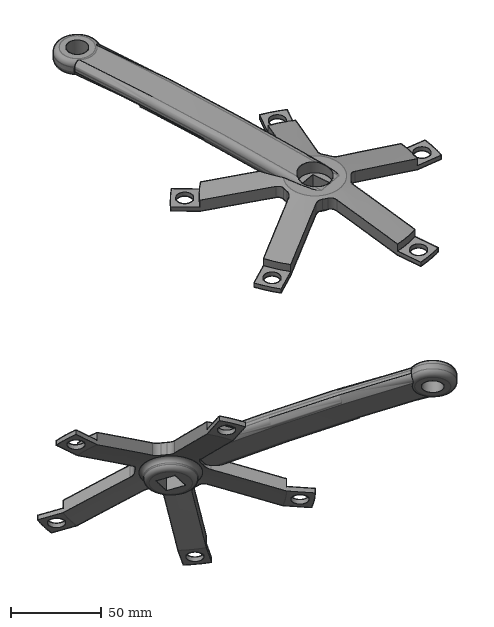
import cadquery as cq
import math


ARM_COUNT = 5
ARM_WIDTH = 16.0
SPIDER_THICKNESS = 8.0
TIP_RADIUS = 80.0
TAB_LENGTH = 16.0
TAB_THICKNESS = 3.0
TAB_START_RADIUS = TIP_RADIUS - TAB_LENGTH
BOLT_CIRCLE_RADIUS = TIP_RADIUS - TAB_LENGTH / 2
BOLT_HOLE_DIAMETER = 10.0
HUB_RADIUS = 20.0
HUB_FLAT_RADIUS = 17.5
HUB_TOP = 20.0
HUB_BOTTOM = HUB_TOP - SPIDER_THICKNESS
ARM_ROOT_FILLET = 5.0

BOSS_DIAMETER = 30.0
BOSS_BOTTOM = 5.0
BOSS_FILLET = 3.0

RECESS_DIAMETER = 20.0
RECESS_FLOOR = 14.0
SQUARE_SIZE = 12.0

CRANK_LENGTH = 165.0
CRANK_TOP = 29.9
CRANK_WIDTH = 24.0
CRANK_THICKNESS = 10.0
CRANK_CORNER_RADIUS = 4.0
CRANK_BEND_RADIUS = 1560.0
CRANK_OVERHANG = 10.5
CRANK_START = 7.0

EYE_TOP = 30.0
EYE_THICKNESS = 10.4
EYE_FLAT_RADIUS = 10.0
EYE_FILLET = 3.42
PEDAL_HOLE_DIAMETER = 12.59


def make_spider():
    """Star-shaped outline cut from a dished revolved body."""
    outline = cq.Workplane("XY").circle(HUB_RADIUS).extrude(HUB_TOP)
    for i in range(ARM_COUNT):
        arm = (
            cq.Workplane("XY")
            .rect(TIP_RADIUS, ARM_WIDTH)
            .extrude(HUB_TOP)
            .translate((TIP_RADIUS / 2, 0, 0))
            .rotate((0, 0, 0), (0, 0, 1), i * 360 / ARM_COUNT)
        )
        outline = outline.union(arm)
    root_edges = cq.selectors.BoxSelector(
        (-HUB_RADIUS - 1, -HUB_RADIUS - 1, 0),
        (HUB_RADIUS + 1, HUB_RADIUS + 1, HUB_TOP),
    )
    outline = outline.edges("|Z").edges(root_edges).fillet(ARM_ROOT_FILLET)

    dish = (
        cq.Workplane("XZ")
        .moveTo(0, HUB_BOTTOM)
        .lineTo(HUB_FLAT_RADIUS, HUB_BOTTOM)
        .lineTo(TAB_START_RADIUS, 0)
        .lineTo(TIP_RADIUS, 0)
        .lineTo(TIP_RADIUS, TAB_THICKNESS)
        .lineTo(TAB_START_RADIUS, TAB_THICKNESS)
        .lineTo(TAB_START_RADIUS, SPIDER_THICKNESS)
        .lineTo(HUB_FLAT_RADIUS, HUB_TOP)
        .lineTo(0, HUB_TOP)
        .close()
        .revolve(360, (0, 0), (0, 1))
    )
    bolt_holes = (
        cq.Workplane("XY")
        .polarArray(BOLT_CIRCLE_RADIUS, 0, 360, ARM_COUNT)
        .circle(BOLT_HOLE_DIAMETER / 2)
        .extrude(TAB_THICKNESS)
    )
    return outline.intersect(dish).cut(bolt_holes)


def make_boss():
    """Round boss below the hub, flared into the hub and rounded at its lower rim."""
    radius = BOSS_DIAMETER / 2
    return (
        cq.Workplane("XZ")
        .moveTo(0, BOSS_BOTTOM)
        .lineTo(radius - BOSS_FILLET, BOSS_BOTTOM)
        .radiusArc((radius, BOSS_BOTTOM + BOSS_FILLET), -BOSS_FILLET)
        .lineTo(radius, HUB_BOTTOM - BOSS_FILLET)
        .radiusArc((radius + BOSS_FILLET, HUB_BOTTOM), BOSS_FILLET)
        .lineTo(0, HUB_BOTTOM)
        .close()
        .revolve(360, (0, 0), (0, 1))
    )


def bend_angle(distance):
    """Angle in degrees along the crank arc at a horizontal distance from the pedal axis."""
    return math.degrees(math.asin(distance / CRANK_BEND_RADIUS))


def make_crank():
    """Rounded rectangular bar that follows an arc, level at the pedal axis and falling to the hub."""
    start_angle = bend_angle(CRANK_START)
    end_angle = bend_angle(CRANK_LENGTH + CRANK_OVERHANG)
    section_offset = CRANK_BEND_RADIUS - CRANK_THICKNESS / 2
    bend_center_z = CRANK_TOP - CRANK_BEND_RADIUS
    section = (
        cq.Sketch()
        .rect(CRANK_WIDTH, CRANK_THICKNESS)
        .vertices()
        .fillet(CRANK_CORNER_RADIUS)
    )
    return (
        cq.Workplane("YZ", origin=(-CRANK_LENGTH, 0, bend_center_z + section_offset))
        .placeSketch(section)
        .revolve(end_angle - start_angle, (0, -section_offset), (1, -section_offset))
        .rotate((-CRANK_LENGTH, 0, bend_center_z), (-CRANK_LENGTH, 1, bend_center_z), start_angle)
    )


def make_pedal_eye():
    """Ring with both outer rims rounded, revolved about the pedal axis."""
    hole_radius = PEDAL_HOLE_DIAMETER / 2
    eye_radius = EYE_FLAT_RADIUS + EYE_FILLET
    return (
        cq.Workplane("YZ", origin=(-CRANK_LENGTH, 0, EYE_TOP - EYE_THICKNESS))
        .moveTo(hole_radius, 0)
        .lineTo(EYE_FLAT_RADIUS, 0)
        .radiusArc((eye_radius, EYE_FILLET), -EYE_FILLET)
        .lineTo(eye_radius, EYE_THICKNESS - EYE_FILLET)
        .radiusArc((EYE_FLAT_RADIUS, EYE_THICKNESS), -EYE_FILLET)
        .lineTo(hole_radius, EYE_THICKNESS)
        .close()
        .revolve(360, (0, 0), (0, 1))
    )


def make_axle_cut():
    """Round recess from the top and a square hole through the boss."""
    recess = (
        cq.Workplane("XY", origin=(0, 0, RECESS_FLOOR))
        .circle(RECESS_DIAMETER / 2)
        .extrude(CRANK_TOP - RECESS_FLOOR)
    )
    square = cq.Workplane("XY").rect(SQUARE_SIZE, SQUARE_SIZE).extrude(CRANK_TOP)
    return recess.union(square)


result = (
    make_spider()
    .union(make_boss())
    .union(make_crank())
    .union(make_pedal_eye())
    .cut(make_axle_cut())
)